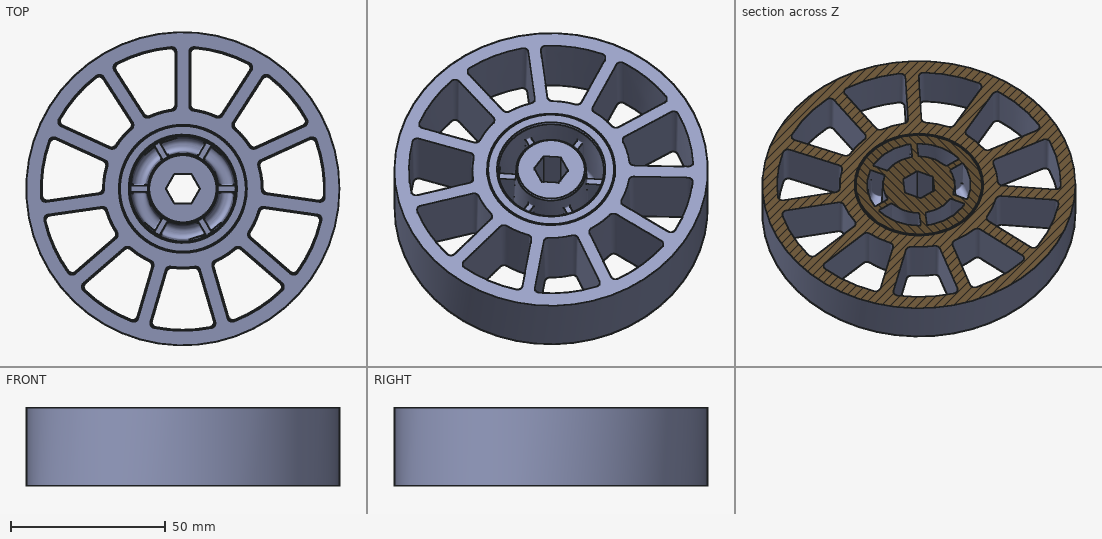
import cadquery as cq
import math

WHEEL_DIAMETER = 101.6
WHEEL_WIDTH = 25.4
TOP = WHEEL_WIDTH / 2
BOTTOM = -TOP
CORE_RADIUS = 20.8

SPOKE_COUNT = 11
SPOKE_WIDTH = 4.1
WINDOW_INNER_RADIUS = 25.5
WINDOW_OUTER_RADIUS = 46.1
WINDOW_CORNER_RADIUS = 1.6
WINDOW_DRAFT = 1.0

HUB_DRAFT = 1.0
HEX_ACROSS_FLATS = 9.525
HEX_TURN = 30
SLEEVE_INNER_RADIUS = 17.1
BOSS_RADIUS = 11.35
EDGE_CHAMFER = 0.5
WEB_THICKNESS = 3.0
WEB_TOP = BOTTOM + WEB_THICKNESS
GROOVE_DRAFT = 2.0
GROOVE_FLOOR_FILLET = 1.9
RIB_COUNT = 6
RIB_WIDTH = 2.0
RIB_TOP = TOP / 2
RIB_DRAFT = 1.0
RIB_FILLET = 0.3

TOLERANCE = 0.01


def polar(radius, angle):
    return (radius * math.cos(angle), radius * math.sin(angle))


def draft_shift(height, draft):
    """Sideways shift of a wall that leans by the draft angle over the given height."""
    return height * math.tan(math.radians(draft))


def window_half_angle(radius):
    """Half the angle a window spans; its sides run parallel to the neighbouring spokes."""
    return math.pi / SPOKE_COUNT - math.asin(SPOKE_WIDTH / 2 / radius)


def make_window():
    """One spoke window centred on +X, widest at the top face and narrowing downward."""
    inner = window_half_angle(WINDOW_INNER_RADIUS)
    outer = window_half_angle(WINDOW_OUTER_RADIUS)
    window = (
        cq.Workplane("XY", origin=(0, 0, TOP))
        .moveTo(*polar(WINDOW_INNER_RADIUS, -inner))
        .lineTo(*polar(WINDOW_OUTER_RADIUS, -outer))
        .threePointArc((WINDOW_OUTER_RADIUS, 0), polar(WINDOW_OUTER_RADIUS, outer))
        .lineTo(*polar(WINDOW_INNER_RADIUS, inner))
        .threePointArc((WINDOW_INNER_RADIUS, 0), polar(WINDOW_INNER_RADIUS, -inner))
        .close()
        .extrude(-WHEEL_WIDTH, taper=WINDOW_DRAFT)
    )
    corners = window.edges().filter(lambda edge: BOTTOM / 2 < edge.Center().z < TOP / 2)
    return corners.fillet(WINDOW_CORNER_RADIUS)


def make_tire():
    tire = (
        cq.Workplane("XY", origin=(0, 0, BOTTOM))
        .circle(WHEEL_DIAMETER / 2)
        .circle(CORE_RADIUS)
        .extrude(WHEEL_WIDTH)
    )
    window = make_window()
    spoke_pitch = 360 / SPOKE_COUNT
    first_window_angle = 90 + spoke_pitch / 2
    for index in range(SPOKE_COUNT):
        angle = first_window_angle + index * spoke_pitch
        tire = tire.cut(window.rotate((0, 0, 0), (0, 0, 1), angle))
    return tire


def make_groove():
    """Ring groove between boss and sleeve, with drafted walls and a rounded floor."""
    shift = draft_shift(TOP - WEB_TOP, GROOVE_DRAFT)
    return (
        cq.Workplane("XZ")
        .moveTo(BOSS_RADIUS + shift, WEB_TOP)
        .lineTo(SLEEVE_INNER_RADIUS - shift, WEB_TOP)
        .lineTo(SLEEVE_INNER_RADIUS, TOP)
        .lineTo(BOSS_RADIUS, TOP)
        .close()
        .revolve(360, (0, 0, 0), (0, 1, 0))
        .faces("<Z")
        .edges()
        .fillet(GROOVE_FLOOR_FILLET)
    )


def make_rib():
    """Drafted rib along +X, long enough to cross the whole groove."""
    half_top_width = RIB_WIDTH / 2
    half_base_width = half_top_width + draft_shift(RIB_TOP - WEB_TOP, RIB_DRAFT)
    return (
        cq.Workplane("YZ")
        .moveTo(-half_base_width, WEB_TOP)
        .lineTo(half_base_width, WEB_TOP)
        .lineTo(half_top_width, RIB_TOP)
        .lineTo(-half_top_width, RIB_TOP)
        .close()
        .extrude(CORE_RADIUS)
    )


def make_pocket():
    """The groove less its ribs, rounded where the ribs meet the walls and the floor."""
    pocket = make_groove()
    rib = make_rib()
    for index in range(RIB_COUNT):
        pocket = pocket.cut(rib.rotate((0, 0, 0), (0, 0, 1), index * 360 / RIB_COUNT))

    rib_sides = pocket.faces("%PLANE").faces("not |Z")
    side_edges = rib_sides.edges().filter(lambda edge: edge.Center().z < RIB_TOP - TOLERANCE)
    top_end_edges = pocket.edges("%CIRCLE").filter(
        lambda edge: abs(edge.Center().z - RIB_TOP) < TOLERANCE
    )
    return side_edges.add(top_end_edges).fillet(RIB_FILLET)


def make_hub():
    hub = (
        cq.Workplane("XY", origin=(0, 0, BOTTOM))
        .circle(CORE_RADIUS)
        .extrude(WHEEL_WIDTH, taper=HUB_DRAFT)
        .cut(make_pocket())
    )
    groove_rims = hub.faces(">Z").edges().filter(
        lambda edge: edge.radius() < SLEEVE_INNER_RADIUS + TOLERANCE
    )
    hub = groove_rims.chamfer(EDGE_CHAMFER)
    hex_bore = (
        cq.Workplane("XY", origin=(0, 0, BOTTOM))
        .transformed(rotate=(0, 0, HEX_TURN))
        .polygon(6, HEX_ACROSS_FLATS, circumscribed=True)
        .extrude(WHEEL_WIDTH)
    )
    return hub.cut(hex_bore)


tire = make_tire()
hub = make_hub()
result = cq.Compound.makeCompound([tire.solids().val(), hub.solids().val()])